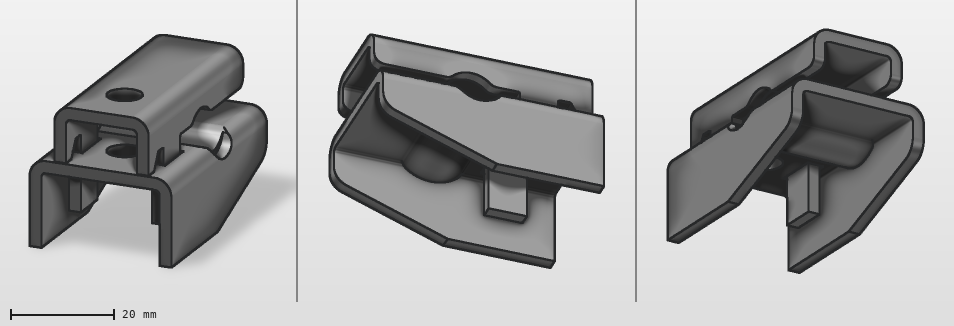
import cadquery as cq
import math


sheet = 2.5
inner_bend = 1.0
outer_bend = inner_bend + sheet

length = 45.5
base_width = 30.0
base_top = 17.95
base_inner_width = base_width - 2 * sheet
base_flat_length = 22.05
taper_angle = 20.0
taper_corner_radius = 4.0

seat_y = 25.5
seat_radius = 5.5
trough_depth = 2.9
wall_notch_radius = 5.0
wall_notch_depth = 3.9
arch_height = 2.1
arch_blend = 2.0

clamp_width = 19.97
clamp_top = 29.5
clamp_front = 0.5
clamp_side_height = 7.95
clamp_edge = clamp_top - clamp_side_height
clamp_corner_radius = 2.0

tab_front = 7.6
tab_back = 15.45
tab_bottom = 5.5
slot_clearance = 0.5
foot_length = 2.5
foot_slope = 60.0
relief_radius = 0.5

bolt_y = 11.5
bolt_diameter = 7.0


def box(x_min, x_max, y_min, y_max, z_min, z_max):
    """Box given by its limits along each axis."""
    return (
        cq.Workplane("XY")
        .box(x_max - x_min, y_max - y_min, z_max - z_min, centered=False)
        .translate((x_min, y_min, z_min))
    )


def across(sketch, width):
    """Extrude a YZ outline symmetrically across X."""
    return sketch.extrude(width / 2, both=True)


def channel(width, top, bottom, front):
    """Straight inverted U channel running back to the common rear end."""
    outer = box(-width / 2, width / 2, front, length, bottom, top)
    outer = outer.edges("|Y and >Z").fillet(outer_bend)
    half_gap = width / 2 - sheet
    inner = box(-half_gap, half_gap, front, length, bottom, top - sheet)
    inner = inner.edges("|Y and >Z").fillet(inner_bend)
    return outer.cut(inner)


def seat_outline(edge_z, depth, radius, blend, side):
    """Round seat blended into a flat edge; side is 1 for an arch, -1 for a trough."""
    half_angle = math.acos(1 - depth / (radius + blend))
    half_width = (radius + blend) * math.sin(half_angle)
    join_y = radius * math.sin(half_angle)
    join_z = blend * (1 - math.cos(half_angle))
    mid_y = half_width - blend * math.sin(half_angle / 2)
    mid_z = blend * (1 - math.cos(half_angle / 2))
    return (
        cq.Workplane("YZ")
        .moveTo(seat_y - half_width, edge_z)
        .threePointArc((seat_y - mid_y, edge_z + side * mid_z), (seat_y - join_y, edge_z + side * join_z))
        .threePointArc((seat_y, edge_z + side * depth), (seat_y + join_y, edge_z + side * join_z))
        .threePointArc((seat_y + mid_y, edge_z + side * mid_z), (seat_y + half_width, edge_z))
        .close()
    )


def bolt_hole():
    """Vertical cylinder that pierces the webs of both channels."""
    return cq.Workplane("XY").center(0, bolt_y).circle(bolt_diameter / 2).extrude(clamp_top)


def base_taper():
    """Waste below the sloping rear part of the base walls, with its rounded corner."""
    taper_rise = (length - base_flat_length) * math.tan(math.radians(taper_angle))
    side = (
        cq.Workplane("YZ")
        .polyline([(0, 0), (base_flat_length, 0), (length, taper_rise), (length, base_top), (0, base_top)])
        .close()
    )
    kept = across(side, base_width)
    kept = kept.edges(cq.selectors.NearestToPointSelector((0, length, taper_rise)))
    kept = kept.fillet(taper_corner_radius)
    return box(-base_width / 2, base_width / 2, 0, length, 0, base_top).cut(kept)


def wall_notches():
    """Round notches through the base walls, just beyond the ends of the trough."""
    center_z = base_top - wall_notch_depth + wall_notch_radius
    notch = across(cq.Workplane("YZ").center(seat_y, center_z).circle(wall_notch_radius), base_width)
    half_gap = base_inner_width / 2
    return notch.cut(box(-half_gap, half_gap, 0, length, 0, clamp_top))


def tab_slots():
    """Slots in the base web, one around each tab."""
    outer_x = clamp_width / 2 + slot_clearance
    inner_x = clamp_width / 2 - sheet - slot_clearance
    slot = box(inner_x, outer_x, tab_front - slot_clearance, tab_back + slot_clearance,
               base_top - sheet, base_top)
    return slot.union(slot.mirror("YZ"))


def make_base():
    """Wide tapered channel with a trough pressed into its web."""
    trough_skin = across(
        seat_outline(base_top - sheet, trough_depth, seat_radius + sheet, inner_bend, -1),
        base_inner_width)
    trough_space = across(
        seat_outline(base_top, trough_depth, seat_radius, outer_bend, -1), base_width)
    base = channel(base_width, base_top, 0, 0)
    base = base.union(trough_skin).cut(trough_space)
    base = base.cut(wall_notches())
    base = base.cut(base_taper())
    return base.cut(tab_slots()).cut(bolt_hole())


def clamp_side():
    """Side outline of the clamp: long edge, tab, relief and sloping front foot."""
    foot_back = clamp_front + foot_length
    slope_run = (clamp_edge - base_top) / math.tan(math.radians(foot_slope))
    outline = (
        cq.Workplane("YZ")
        .polyline([
            (clamp_front, clamp_top), (clamp_front, base_top), (foot_back, base_top),
            (foot_back + slope_run, clamp_edge), (tab_front, clamp_edge), (tab_front, tab_bottom),
            (tab_back, tab_bottom), (tab_back, clamp_edge), (length, clamp_edge), (length, clamp_top),
        ])
        .close()
    )
    side = across(outline, clamp_width)
    for relief_y in (foot_back + slope_run, tab_front, tab_back):
        corner = cq.selectors.NearestToPointSelector((0, relief_y, clamp_edge))
        side = side.edges(corner).fillet(relief_radius)
    rear_corner = cq.selectors.NearestToPointSelector((0, length, clamp_edge))
    return side.edges(rear_corner).fillet(clamp_corner_radius)


def make_clamp():
    """Narrow channel whose tabs drop into the base and whose feet rest on it."""
    arch = across(seat_outline(clamp_edge, arch_height, seat_radius, arch_blend, 1), clamp_width)
    clamp = channel(clamp_width, clamp_top, tab_bottom, clamp_front)
    return clamp.intersect(clamp_side()).cut(arch).cut(bolt_hole())


base = make_base()
clamp = make_clamp()

result = cq.Compound.makeCompound([base.solids().val(), clamp.solids().val()])